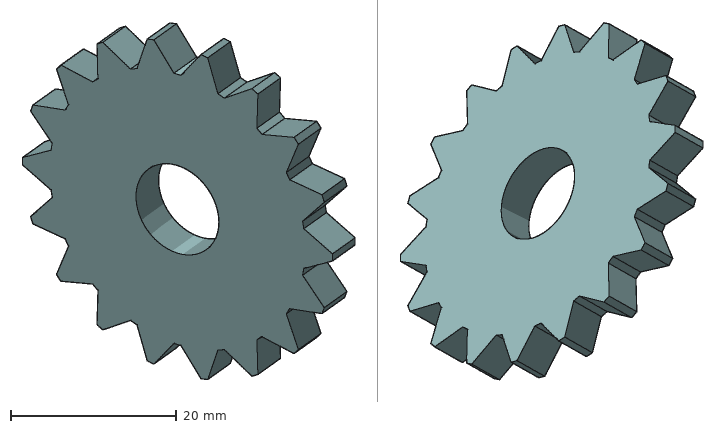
import cadquery as cq
import math

tooth_count = 18
outer_width = 45.0
thickness = 5.0
bore_diameter = 12.0
tip_width = 1.0
root_radius = 18.55
root_width = 1.0

tip_apothem = outer_width / 2
tooth_pitch = 2 * math.pi / tooth_count
root_half_angle = math.asin(root_width / 2 / root_radius)
flank_foot_angle = tooth_pitch / 2 - root_half_angle
tip_radius = math.hypot(tip_apothem, tip_width / 2)
tip_half_angle = math.atan2(tip_width / 2, tip_apothem)


def polar_point(radius, angle):
    return (radius * math.cos(angle), radius * math.sin(angle))


def tooth_points(center_angle):
    """Corners of one tooth: foot, two tip corners, foot."""
    return [
        polar_point(root_radius, center_angle - flank_foot_angle),
        polar_point(tip_radius, center_angle - tip_half_angle),
        polar_point(tip_radius, center_angle + tip_half_angle),
        polar_point(root_radius, center_angle + flank_foot_angle),
    ]


outline = []
for tooth in range(tooth_count):
    outline.extend(tooth_points(tooth * tooth_pitch))

disc = cq.Workplane("XZ").polyline(outline).close().extrude(thickness / 2, both=True)
bore = cq.Workplane("XZ").circle(bore_diameter / 2).extrude(thickness / 2, both=True)
result = disc.cut(bore)